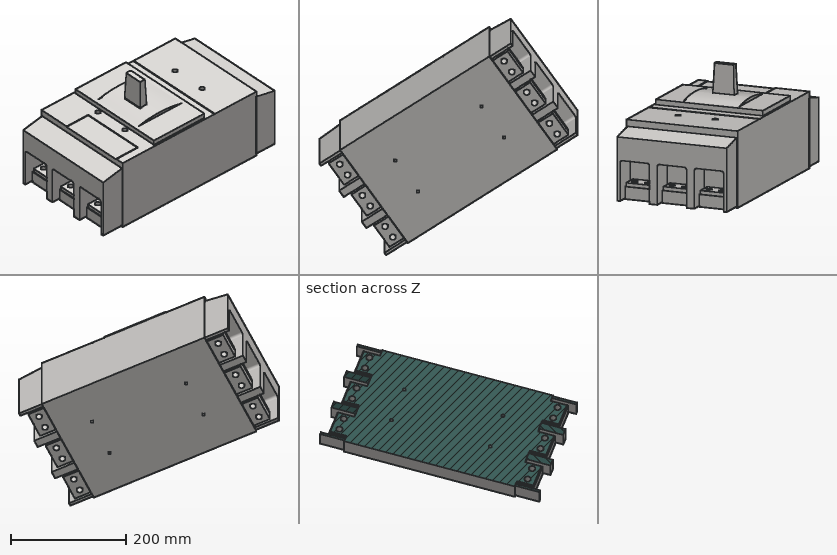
import cadquery as cq

OVERALL_LENGTH = 401
HOUSING_WIDTH = 210.0
HOUSING_LENGTH = 312.8
HOUSING_HEIGHT = 137.5

POLE_PITCH = 70.0
POLE_POSITIONS = [-POLE_PITCH, 0, POLE_PITCH]
COVER_WIDTH = 207.0
COVER_LENGTH = (OVERALL_LENGTH - HOUSING_LENGTH) / 2
COVER_BOTTOM = 2.5
COVER_INNER_TOP = 125.5
COVER_OUTER_TOP = 116.5
BAY_WIDTH = 55.7
BAY_TOP = 75.0
BAY_CORNER_RADIUS = 5.0

LUG_BOTTOM = 3.2
LUG_BLOCK_WIDTH = 48
LUG_BLOCK_TOP = 25.5
LUG_BLOCK_LENGTH = 31.0
LUG_PLATE_WIDTH = 45.0
LUG_PLATE_TOP = 32.5
LUG_PLATE_LENGTH = 29.5
LUG_HOLE_DIAMETER = 10.5
LUG_HOLE_SPACING = 24
LUG_HOLE_REACH = 15.5

PLATE_WIDTH = 203.0
PLATE_LENGTH = 118.0
PLATE_CENTRE_Y = -21.3
PLATE_TOP = 146.8
DOME_WIDTH = 105.0
DOME_LENGTH = 100.0
DOME_TOP = 152.8

MOUNT_HOLE_DIAMETER = 5.0
MOUNT_COUNTERBORE_DIAMETER = 9.5
MOUNT_COUNTERBORE_DEPTH = 48
MOUNT_HOLE_REAR_Y = 92.5
MOUNT_HOLE_FRONT_Y = -88.0

LABEL_LEFT = -40
LABEL_WIDTH = 128.0
LABEL_REAR_Y = -106.0
LABEL_DEPTH = 1.2
GROOVE_Y = 59.0
GROOVE_WIDTH = 0.5
GROOVE_DEPTH = 1.2

HANDLE_Y = -31.3
HANDLE_BASE_Z = 150.5
HANDLE_TOP = 206.0
HANDLE_BASE_WIDTH = 40.5
HANDLE_TOP_WIDTH = 36
HANDLE_BASE_THICKNESS = 15.2
HANDLE_TOP_THICKNESS = 11.0
HANDLE_CROWN = 1.2


def block(width, length, bottom, top):
    return cq.Workplane("XY").workplane(offset=bottom).rect(width, length).extrude(top - bottom)


def arched_prism(width, length, bottom_z, spring_z, crown_z):
    """Prism along X whose top is two equal arcs that meet level along the crown, at Y = 0."""
    half = length / 2
    rise = crown_z - spring_z
    radius = (half**2 + rise**2) / (2 * rise)
    return (
        cq.Workplane("YZ")
        .workplane(offset=-width / 2)
        .moveTo(-half, bottom_z)
        .lineTo(-half, spring_z)
        .radiusArc((0, crown_z), radius)
        .radiusArc((half, spring_z), radius)
        .lineTo(half, bottom_z)
        .close()
        .extrude(width, clean=False)
    )


def make_handle():
    """Tapered toggle with a slightly arched top."""
    taper = (
        cq.Workplane("XY")
        .workplane(offset=HANDLE_BASE_Z)
        .rect(HANDLE_BASE_WIDTH, HANDLE_BASE_THICKNESS)
        .workplane(offset=HANDLE_TOP - HANDLE_BASE_Z)
        .rect(HANDLE_TOP_WIDTH, HANDLE_TOP_THICKNESS)
        .loft(ruled=True)
    )
    envelope = arched_prism(
        HANDLE_BASE_WIDTH, HANDLE_BASE_THICKNESS, HANDLE_BASE_Z, HANDLE_TOP - HANDLE_CROWN, HANDLE_TOP
    )
    return taper.intersect(envelope, clean=False).translate((0, HANDLE_Y, 0))


def make_lug():
    """Lug at the -Y end of the middle pole, standing out from the housing face."""
    inner_y = -HOUSING_LENGTH / 2

    lug_block = block(LUG_BLOCK_WIDTH, LUG_BLOCK_LENGTH, LUG_BOTTOM, LUG_BLOCK_TOP)
    lug_plate = block(LUG_PLATE_WIDTH, LUG_PLATE_LENGTH, LUG_BLOCK_TOP, LUG_PLATE_TOP)
    lug = lug_block.translate((0, inner_y - LUG_BLOCK_LENGTH / 2, 0)).union(
        lug_plate.translate((0, inner_y - LUG_PLATE_LENGTH / 2, 0))
    )
    holes = (
        cq.Workplane("XY")
        .pushPoints([(side * LUG_HOLE_SPACING / 2, inner_y - LUG_HOLE_REACH) for side in (-1, 1)])
        .circle(LUG_HOLE_DIAMETER / 2)
        .extrude(LUG_PLATE_TOP)
    )
    return lug.cut(holes)


def make_housing(handle):
    housing = block(HOUSING_WIDTH, HOUSING_LENGTH, 0, HOUSING_HEIGHT)

    groove = block(HOUSING_WIDTH, GROOVE_WIDTH, HOUSING_HEIGHT - GROOVE_DEPTH, HOUSING_HEIGHT)
    housing = housing.cut(groove.translate((0, GROOVE_Y, 0)))

    label_length = LABEL_REAR_Y + HOUSING_LENGTH / 2
    label = block(LABEL_WIDTH, label_length, HOUSING_HEIGHT - LABEL_DEPTH, HOUSING_HEIGHT)
    housing = housing.cut(
        label.translate((LABEL_LEFT + LABEL_WIDTH / 2, LABEL_REAR_Y - label_length / 2, 0))
    )

    mount_points = [
        (side * POLE_PITCH / 2, y) for side in (-1, 1) for y in (MOUNT_HOLE_FRONT_Y, MOUNT_HOLE_REAR_Y)
    ]
    housing = (
        housing.faces(">Z")
        .workplane(origin=(0, 0, HOUSING_HEIGHT))
        .pushPoints(mount_points)
        .cboreHole(MOUNT_HOLE_DIAMETER, MOUNT_COUNTERBORE_DIAMETER, MOUNT_COUNTERBORE_DEPTH)
    )

    plate = block(PLATE_WIDTH, PLATE_LENGTH, HOUSING_HEIGHT, PLATE_TOP)
    housing = housing.union(plate.translate((0, PLATE_CENTRE_Y, 0)))

    lug = make_lug()
    for x in POLE_POSITIONS:
        pole_lug = lug.translate((x, 0, 0))
        housing = housing.union(pole_lug).union(pole_lug.mirror("XZ"))

    dome = arched_prism(DOME_WIDTH, DOME_LENGTH, HOUSING_HEIGHT, PLATE_TOP, DOME_TOP)
    housing = housing.union(dome.translate((0, PLATE_CENTRE_Y, 0)), clean=False)

    return housing.cut(handle, clean=False)


def make_cover():
    """Terminal cover at the -Y end, with one open bay per pole."""
    inner_y = -HOUSING_LENGTH / 2
    outer_y = -OVERALL_LENGTH / 2
    cover = (
        cq.Workplane("YZ")
        .workplane(offset=-COVER_WIDTH / 2)
        .polyline([
            (inner_y, COVER_BOTTOM),
            (outer_y, COVER_BOTTOM),
            (outer_y, COVER_OUTER_TOP),
            (inner_y, COVER_INNER_TOP),
        ])
        .close()
        .extrude(COVER_WIDTH)
    )
    bay = (
        block(BAY_WIDTH, COVER_LENGTH, COVER_BOTTOM, BAY_TOP)
        .faces(">Z")
        .edges("|Y")
        .fillet(BAY_CORNER_RADIUS)
        .translate((0, inner_y - COVER_LENGTH / 2, 0))
    )
    for x in POLE_POSITIONS:
        cover = cover.cut(bay.translate((x, 0, 0)))
    return cover


handle = make_handle()
housing = make_housing(handle)
front_cover = make_cover()
rear_cover = front_cover.mirror("XZ")

result = cq.Compound.makeCompound([
    housing.val(),
    front_cover.val(),
    rear_cover.val(),
    handle.val(),
])